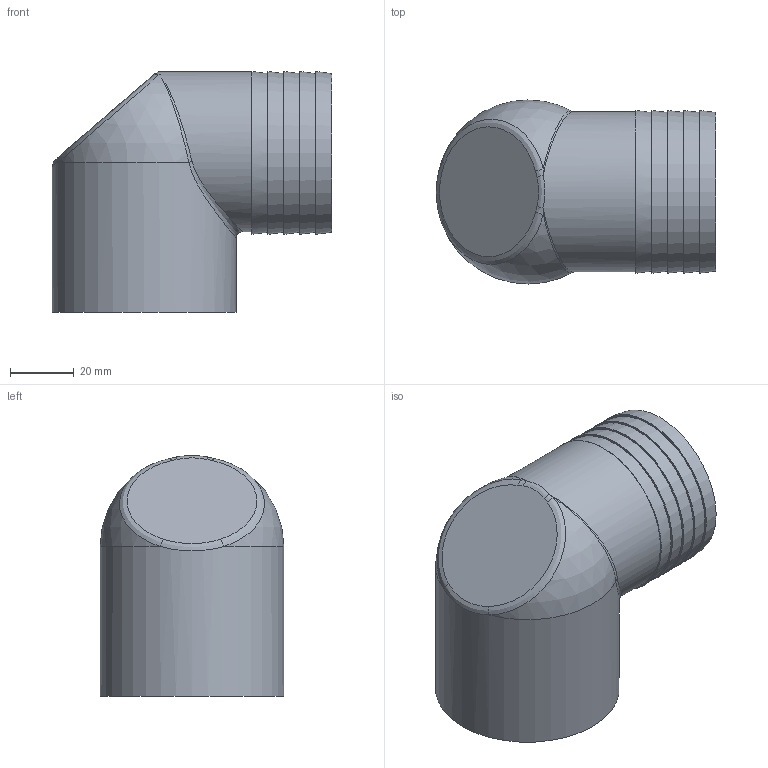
import cadquery as cq
import math

body_diameter = 57.6
body_radius = body_diameter / 2
shoulder_height = 47.0

spigot_diameter = 50.2
spigot_radius = spigot_diameter / 2
spigot_top = 75.5
spigot_axis_height = spigot_top - spigot_radius

barb_count = 5
barb_pitch = 5.0
barb_crest_radius = 25.5
barb_root_radius = 24.85
barb_axis_height = 50.0
spigot_end = 58.8
barb_start = spigot_end - barb_count * barb_pitch

junction_fillet = 2.0
flat_fillet = 3.0

flat_top_x = math.sqrt(body_radius**2 - (spigot_top - shoulder_height) ** 2)
flat_slope = (spigot_top - shoulder_height) / (flat_top_x + body_radius)


def make_body():
    """Cylinder closed by a hemisphere, as one revolved profile."""
    return (
        cq.Workplane("XZ")
        .lineTo(body_radius, 0)
        .lineTo(body_radius, shoulder_height)
        .radiusArc((0, shoulder_height + body_radius), -body_radius)
        .close()
        .revolve(360, (0, 0), (0, 1))
    )


def make_spigot():
    """Plain round bar, starting on the upright axis inside the body."""
    return (
        cq.Workplane("YZ")
        .center(0, spigot_axis_height)
        .circle(spigot_radius)
        .extrude(barb_start)
    )


def make_barbs():
    """Sawtooth rings that taper towards the free end."""
    profile = cq.Workplane("XZ", origin=(0, 0, barb_axis_height)).moveTo(barb_start, 0)
    for index in range(barb_count):
        crest_x = barb_start + index * barb_pitch
        profile = profile.lineTo(crest_x, barb_crest_radius)
        profile = profile.lineTo(crest_x + barb_pitch, barb_root_radius)
    return profile.lineTo(spigot_end, 0).close().revolve(360, (0, 0), (1, 0))


def make_flat_cutter():
    """Wedge above the sloped flat at the outer corner of the elbow."""
    clearance = body_diameter
    rise = flat_slope * clearance
    return (
        cq.Workplane("XZ")
        .moveTo(-body_radius - clearance, shoulder_height - rise)
        .lineTo(flat_top_x, spigot_top)
        .lineTo(flat_top_x + clearance, spigot_top + rise)
        .lineTo(-body_radius - clearance, spigot_top + rise)
        .close()
        .extrude(body_diameter, both=True)
    )


def make_elbow():
    """Body and spigot blended together, with the rounded flat on the corner."""
    joined = make_body().union(make_spigot())
    blended = joined.edges("%BSPLINE").fillet(junction_fillet)
    trimmed = blended.cut(make_flat_cutter())
    flat_middle = (
        (flat_top_x - body_radius) / 2,
        0,
        (spigot_top + shoulder_height) / 2,
    )
    flat_face = trimmed.faces(cq.NearestToPointSelector(flat_middle))
    return flat_face.edges().fillet(flat_fillet)


result = make_elbow().union(make_barbs())